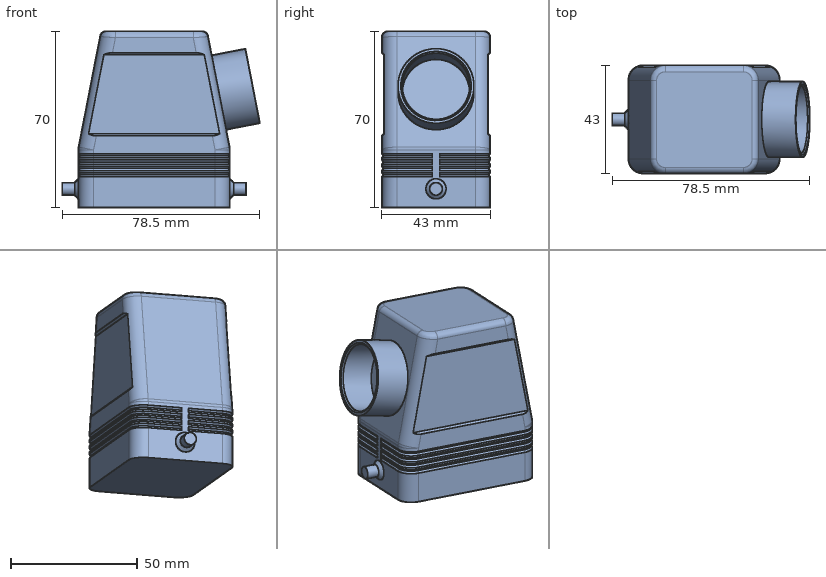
import cadquery as cq
import math

LENGTH = 60.1
WIDTH = 43.0
HEIGHT = 70.0
BEND_HEIGHT = 23.5
TAPER = math.radians(11)
CORNER_RADIUS = 6.0
BEND_RADIUS = 6.0
TOP_RADIUS = 2.5

RECESS_BOTTOM = 28.5
RECESS_TOP = 61.4
RECESS_DEPTH = 0.9

GROOVE_COUNT = 4
GROOVE_WIDTH = 1.7
GROOVE_PITCH = 2.5
GROOVE_DEPTH = 0.6
LOWEST_GROOVE = 13.0
GROOVE_GAP = 2.9

PIN_RADIUS = 2.5
PIN_HEIGHT = 7.45
PIN_TIP = 36.5
PIN_BASE_RADIUS = 4.0
PIN_BASE_LENGTH = PIN_BASE_RADIUS - PIN_RADIUS

ENTRY_RADIUS = 15.1
ENTRY_BORE_RADIUS = 13.3
ENTRY_BORE_CHAMFER = 0.6
ENTRY_REACH = 42.0
ENTRY_HEIGHT = 48.25
ENTRY_OVERLAP = 2.35

half_length = LENGTH / 2
half_width = WIDTH / 2


def wall_x(z):
    """Distance of the tapered wall from the middle plane at height z."""
    return half_length - (z - BEND_HEIGHT) * math.tan(TAPER)


mouth_x = ENTRY_REACH - ENTRY_RADIUS * math.sin(TAPER)
entry_length = (mouth_x - wall_x(ENTRY_HEIGHT)) * math.cos(TAPER)


def hood():
    half_top = wall_x(HEIGHT)
    outline = [
        (-half_length, 0),
        (half_length, 0),
        (half_length, BEND_HEIGHT),
        (half_top, HEIGHT),
        (-half_top, HEIGHT),
        (-half_length, BEND_HEIGHT),
    ]
    body = cq.Workplane("XZ").polyline(outline).close().extrude(half_width, both=True)
    body = body.edges("|Y and (not <Z) and (not >Z)").fillet(BEND_RADIUS)
    body = body.faces("<Y or >Y").edges("not |X").fillet(CORNER_RADIUS)
    return body.faces(">Z").edges().fillet(TOP_RADIUS)


def side_recesses():
    floor_y = half_width - RECESS_DEPTH
    outline = [
        (half_width, RECESS_BOTTOM),
        (half_width, RECESS_TOP),
        (floor_y, RECESS_TOP - RECESS_DEPTH),
        (floor_y, RECESS_BOTTOM + RECESS_DEPTH),
    ]
    recess = cq.Workplane("YZ").polyline(outline).close().extrude(half_length, both=True)
    return recess.union(recess.mirror("XZ"))


def skirt_section(inset, z):
    """Rounded rectangle of the skirt, shrunk by inset, at height z."""
    section = cq.Sketch().rect(LENGTH - 2 * inset, WIDTH - 2 * inset)
    section = section.vertices().fillet(CORNER_RADIUS - inset)
    return section.moved(cq.Location(cq.Vector(0, 0, z)))


def groove_core(middle):
    """Waisted block left standing inside a groove centred at height middle."""
    waist = skirt_section(GROOVE_DEPTH, middle)
    core = cq.Workplane("XY")
    for rim_z in (middle - GROOVE_WIDTH / 2, middle + GROOVE_WIDTH / 2):
        core = core.union(cq.Workplane("XY").placeSketch(skirt_section(0, rim_z), waist).loft())
    return core


def grooves():
    bridge = cq.Workplane("XY").box(LENGTH, GROOVE_GAP, HEIGHT)
    cuts = cq.Workplane("XY")
    for i in range(GROOVE_COUNT):
        middle = LOWEST_GROOVE + i * GROOVE_PITCH
        slab = cq.Workplane("XY").box(LENGTH, WIDTH, GROOVE_WIDTH).translate((0, 0, middle))
        cuts = cuts.union(slab.cut(groove_core(middle)))
    return cuts.cut(bridge)


def pins():
    outline = [
        (0, 0),
        (PIN_BASE_RADIUS, 0),
        (PIN_BASE_RADIUS, half_length),
        (PIN_RADIUS, half_length + PIN_BASE_LENGTH),
        (PIN_RADIUS, PIN_TIP),
        (0, PIN_TIP),
    ]
    pin = cq.Workplane("XY").polyline(outline).close().revolve()
    pin = pin.rotate((0, 0, 0), (0, 0, 1), -90).translate((0, 0, PIN_HEIGHT))
    return pin.union(pin.mirror("YZ"))


def entry_mouth():
    """Workplane on the open end of the cable entry, facing outwards."""
    return cq.Workplane(
        cq.Plane(
            origin=(mouth_x, 0, ENTRY_HEIGHT),
            xDir=(0, 1, 0),
            normal=(math.cos(TAPER), 0, math.sin(TAPER)),
        )
    )


def entry_tube():
    """Tube sunk a little into the wall so that the two join."""
    return entry_mouth().circle(ENTRY_RADIUS).extrude(-entry_length - ENTRY_OVERLAP)


def entry_bore():
    """Blind bore stopping level with the wall, chamfered at the mouth."""
    bore = entry_mouth().circle(ENTRY_BORE_RADIUS).extrude(-entry_length)
    rim = entry_mouth().circle(ENTRY_BORE_RADIUS + ENTRY_BORE_CHAMFER)
    return bore.union(rim.extrude(-ENTRY_BORE_CHAMFER, taper=45))


result = (
    hood()
    .cut(side_recesses())
    .cut(grooves())
    .union(pins())
    .union(entry_tube())
    .cut(entry_bore())
)